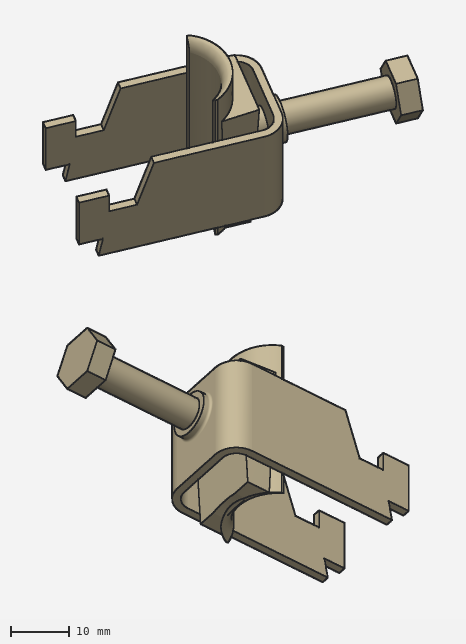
import cadquery as cq
import math


bracket_width = 20.0
bracket_height = 20.0
sheet = 1.5
bend_radius = 4.5
leg_end = 38.05
slope_top = 24.5
slope_foot = 27.55
hook_back = 32.6
notch_floor = 10.55
hook_top = 14.5
hook_bottom = 4.0
undercut_back = 33.7
toe_end = 34.5

collar_diameter = 8.5
collar_height = 1.5
collar_fillet = 0.5

bolt_height = 12.5
bolt_diameter = 6.0
head_flats = 10.0
head_height = 3.95
head_bearing = 21.5
bolt_tip = 6.1

saddle_bottom = -4.05
saddle_length = 34.0
saddle_width = 16.0
saddle_front = 12.75
saddle_crown = 7.5
outer_radius = 9.0
inner_radius = 8.0
wall = 2.05
flare_length = 2.65
arch_radius = 15.9
arch_rise = 0.3

block_top = 23.5
block_half_back = 6.8
block_half_front = 7.5
block_front = 11.8
block_back_top = 4.45
block_back_bottom = 6.0

saddle_top = saddle_bottom + saddle_length
outer_axis = saddle_crown + outer_radius
inner_axis = saddle_crown + wall + inner_radius


def cylinder_y(diameter, depth_from, depth_to):
    """Cylinder on the bolt axis between two depths below the bracket back."""
    return (
        cq.Workplane("XZ", origin=(0, -depth_from, 0))
        .center(0, bolt_height)
        .circle(diameter / 2)
        .extrude(depth_to - depth_from)
    )


def upright_cylinder(radius, axis_depth):
    """Cylinder along Z over the full length of the saddle."""
    return (
        cq.Workplane("XY", origin=(0, -axis_depth, saddle_bottom))
        .circle(radius)
        .extrude(saddle_length)
    )


def underside_arch():
    """Wide cylinder along Y that hollows the lower end of saddle and block slightly."""
    return (
        cq.Workplane("XZ")
        .center(0, saddle_bottom + arch_rise - arch_radius)
        .circle(arch_radius)
        .extrude(saddle_front)
    )


def u_channel():
    """Sheet bent into a U, with legs of full height."""
    def bent_prism(width, back, radius):
        return (
            cq.Workplane("XY")
            .rect(width, 2 * (leg_end - back))
            .extrude(bracket_height)
            .edges("|Z and >Y")
            .fillet(radius)
            .translate((0, -leg_end, 0))
        )

    outside = bent_prism(bracket_width, 0, bend_radius)
    inside = bent_prism(bracket_width - 2 * sheet, sheet, bend_radius - sheet)
    return outside.cut(inside)


def leg_outline():
    """Side outline of the legs, spanning the full bracket width."""
    return (
        cq.Workplane("YZ", origin=(-bracket_width / 2, 0, 0))
        .moveTo(0, 0)
        .lineTo(0, bracket_height)
        .lineTo(-slope_top, bracket_height)
        .lineTo(-slope_foot, notch_floor)
        .lineTo(-hook_back, notch_floor)
        .lineTo(-hook_back, hook_top)
        .lineTo(-leg_end, hook_top)
        .lineTo(-leg_end, hook_bottom)
        .lineTo(-undercut_back, hook_bottom)
        .lineTo(-toe_end, 0)
        .close()
        .extrude(bracket_width)
    )


def make_bracket():
    plate = u_channel().intersect(leg_outline())
    collar = cylinder_y(collar_diameter, -collar_height, sheet / 2)
    root = cq.selectors.BoxSelector(
        (-collar_diameter, -sheet / 2, bolt_height - collar_diameter),
        (collar_diameter, sheet / 2, bolt_height + collar_diameter),
    )
    body = plate.union(collar).edges(root).edges("%CIRCLE").fillet(collar_fillet)
    return body.cut(cylinder_y(bolt_diameter, -collar_height, sheet))


def make_bolt():
    head = (
        cq.Workplane("XZ", origin=(0, head_bearing, 0))
        .center(0, bolt_height)
        .polygon(6, head_flats / math.cos(math.pi / 6))
        .extrude(-head_height)
    )
    return head.union(cylinder_y(bolt_diameter, -head_bearing, bolt_tip))


def flare_cutter():
    """Revolved mouth at the upper end: a quarter ellipse from the bore out to the rim."""
    return (
        cq.Workplane("XZ", origin=(0, -inner_axis, 0))
        .moveTo(0, saddle_top - flare_length)
        .lineTo(inner_radius, saddle_top - flare_length)
        .ellipseArc(wall, flare_length, 90, 180, sense=-1)
        .lineTo(0, saddle_top)
        .close()
        .revolve(360, (0, 0, 0), (0, 1, 0))
    )


def make_saddle():
    stock_depth = saddle_front - saddle_crown
    stock = (
        cq.Workplane("XY", origin=(0, -saddle_crown - stock_depth / 2, saddle_bottom))
        .rect(saddle_width, stock_depth)
        .extrude(saddle_length)
    )
    shell = stock.intersect(upright_cylinder(outer_radius, outer_axis))
    shell = shell.cut(upright_cylinder(inner_radius, inner_axis))
    upper_flare = flare_cutter()
    middle = (saddle_bottom + saddle_top) / 2
    lower_flare = upper_flare.mirror("XY", (0, 0, middle))
    return shell.cut(upper_flare).cut(lower_flare).cut(underside_arch())


def make_block():
    """Block whose back leans forward and whose flanks go from spread to parallel downward."""
    body = (
        cq.Workplane("XY", origin=(0, 0, saddle_bottom))
        .polyline([
            (-block_half_back, -block_back_bottom),
            (block_half_back, -block_back_bottom),
            (block_half_back, -block_front),
            (-block_half_back, -block_front),
        ])
        .close()
        .workplane(offset=block_top - saddle_bottom)
        .polyline([
            (-block_half_back, -block_back_top),
            (block_half_back, -block_back_top),
            (block_half_front, -block_front),
            (-block_half_front, -block_front),
        ])
        .close()
        .loft(ruled=True)
    )
    body = body.cut(upright_cylinder(outer_radius, outer_axis))
    body = body.cut(cylinder_y(bolt_diameter, 0, bolt_tip))
    return body.cut(underside_arch())


bracket = make_bracket()
bolt = make_bolt()
saddle = make_saddle()
block = make_block()

result = cq.Compound.makeCompound([bracket.val(), bolt.val(), saddle.val(), block.val()])